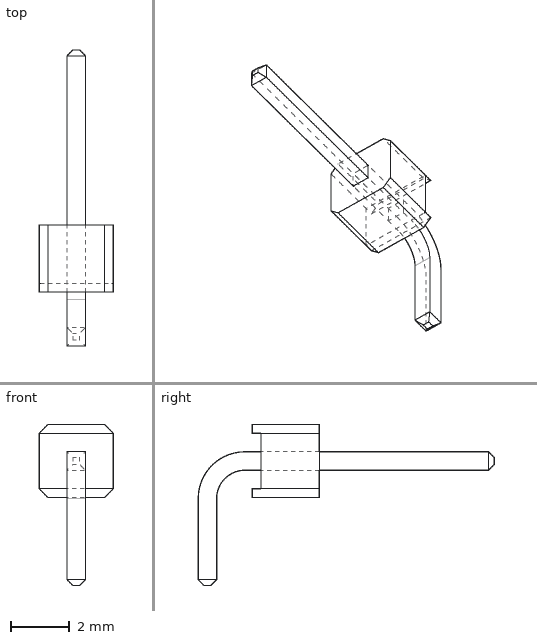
import cadquery as cq

HOUSING_WIDTH = 2.54
HOUSING_HEIGHT = 2.5
HOUSING_CHAMFER = 0.3
HOUSING_BODY_LENGTH = 2.0
LIP_LENGTH = 0.3
HOUSING_LENGTH = HOUSING_BODY_LENGTH + LIP_LENGTH

PIN_SIZE = 0.64
PIN_LENGTH = 10.13
BEND_OUTER_RADIUS = 1.6
TIP_CHAMFER = 0.2
OVERALL_HEIGHT = 5.51

LIP_FRONT_TO_PIN_FRONT = 1.84
PIN_FRONT = -HOUSING_LENGTH - LIP_FRONT_TO_PIN_FRONT
PIN_BACK = PIN_FRONT + PIN_LENGTH
PIN_TOP = PIN_SIZE / 2
PIN_BOTTOM = HOUSING_HEIGHT / 2 - OVERALL_HEIGHT
BEND_Y = PIN_FRONT + BEND_OUTER_RADIUS
BEND_Z = PIN_TOP - BEND_OUTER_RADIUS


def make_pin():
    """Square wire with a quarter-circle bend and a tapered tip at each end."""
    horizontal = (
        cq.Workplane("XZ", origin=(0, BEND_Y, 0))
        .rect(PIN_SIZE, PIN_SIZE)
        .extrude(BEND_Y - PIN_BACK)
        .faces(">Y")
        .chamfer(TIP_CHAMFER)
    )
    vertical = (
        cq.Workplane("XY", origin=(0, PIN_FRONT + PIN_SIZE / 2, BEND_Z))
        .rect(PIN_SIZE, PIN_SIZE)
        .extrude(PIN_BOTTOM - BEND_Z)
        .faces("<Z")
        .chamfer(TIP_CHAMFER)
    )
    bend = (
        cq.Workplane("XZ", origin=(0, BEND_Y, 0))
        .rect(PIN_SIZE, PIN_SIZE)
        .revolve(90, (-0.1, BEND_Z, 0), (0.1, BEND_Z, 0))
    )
    return horizontal.union(bend).union(vertical)


def make_housing():
    """Chamfered block with a front recess between two lips and a square pin hole."""
    block = (
        cq.Workplane("XZ")
        .rect(HOUSING_WIDTH, HOUSING_HEIGHT)
        .extrude(HOUSING_LENGTH)
        .edges("|Y")
        .chamfer(HOUSING_CHAMFER)
    )
    recess = (
        cq.Workplane("XZ", origin=(0, -HOUSING_BODY_LENGTH, 0))
        .rect(HOUSING_WIDTH, HOUSING_HEIGHT - 2 * HOUSING_CHAMFER)
        .extrude(LIP_LENGTH)
    )
    pin_hole = cq.Workplane("XZ").rect(PIN_SIZE, PIN_SIZE).extrude(HOUSING_LENGTH)
    return block.cut(recess).cut(pin_hole)


housing = make_housing()
pin = make_pin()
result = cq.Compound.makeCompound([housing.val(), pin.val()])